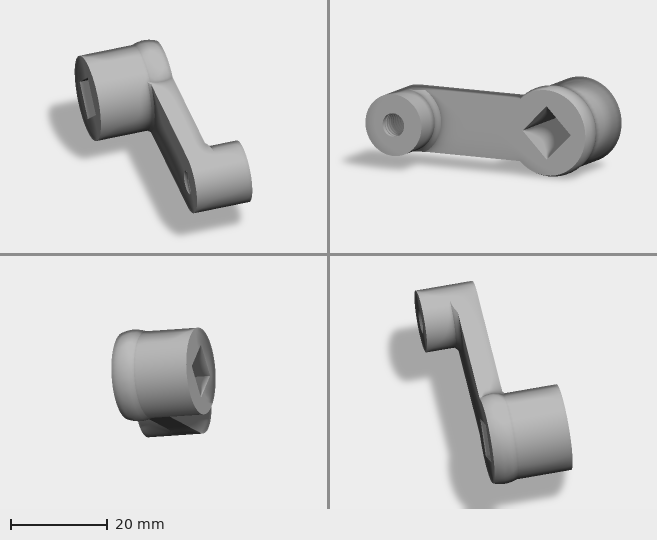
import cadquery as cq

total_length = 47.95

hub_diameter = 18.0
hub_length = 11.5
bead_diameter = 19.0
square_side = 7.9

arm_thickness = 4.95
boss_diameter = 13.0
boss_length = 12.0
hub_chamfer = 0.55
boss_chamfer = 1.0

thread_minor_diameter = 5.0
thread_major_diameter = 6.0
thread_pitch = 1.0
groove_mouth = 0.8
groove_root = 0.15
groove_overlap = 0.1
thread_end_gap = 0.58

hub_radius = hub_diameter / 2
bead_radius = bead_diameter / 2
boss_radius = boss_diameter / 2
boss_x = total_length - bead_radius - boss_radius
arm_width = boss_diameter


def y_cylinder(x, radius, y_start, y_end):
    """Cylinder parallel to Y, between two Y positions."""
    return cq.Workplane("XY").add(
        cq.Solid.makeCylinder(radius, y_end - y_start, cq.Vector(x, y_start, 0), cq.Vector(0, 1, 0))
    )


def flare(x, radius, size, y_face, direction):
    """45 degree collar on an arm face, tapering away from it and trimmed to the arm outline."""
    cone = cq.Workplane("XY").add(
        cq.Solid.makeCone(radius + size, radius, size, cq.Vector(x, y_face, 0), cq.Vector(0, direction, 0))
    )
    arm_zone = cq.Workplane("XY").box(boss_x, total_length, arm_width, centered=(False, True, True))
    return cone.intersect(arm_zone)


def make_bead():
    """Hub end with a barrel-shaped rim across the thickness of the arm."""
    return (
        cq.Workplane("XY")
        .lineTo(hub_radius, 0)
        .threePointArc((bead_radius, arm_thickness / 2), (hub_radius, arm_thickness))
        .lineTo(0, arm_thickness)
        .close()
        .revolve(360, (0, 0, 0), (0, 1, 0))
    )


def make_arm():
    return cq.Workplane("XY").box(boss_x, arm_thickness, arm_width, centered=(False, False, True))


def make_square_hole():
    """Through hole with its corners on the X and Z axes."""
    return (
        cq.Workplane("XY")
        .box(square_side, 3 * hub_length, square_side)
        .rotate((0, 0, 0), (0, 1, 0), 45)
    )


def make_thread_groove():
    """Helical groove kept inside both ends of the boss."""
    minor_radius = thread_minor_diameter / 2
    helix_height = boss_length - 2 * thread_end_gap
    path = cq.Wire.makeHelix(thread_pitch, helix_height, minor_radius)
    inner_x = minor_radius - groove_overlap
    profile = cq.Workplane("XZ").polyline([
        (inner_x, groove_mouth / 2),
        (thread_major_diameter / 2, groove_root / 2),
        (thread_major_diameter / 2, -groove_root / 2),
        (inner_x, -groove_mouth / 2),
    ]).close()
    groove = profile.sweep(cq.Workplane("XY").add(path), isFrenet=True)
    return groove.rotate((0, 0, 0), (1, 0, 0), -90).translate((boss_x, thread_end_gap, 0))


result = (
    make_bead()
    .union(make_arm())
    .union(y_cylinder(0, hub_radius, -hub_length, 0))
    .union(y_cylinder(boss_x, boss_radius, 0, boss_length))
    .union(flare(0, hub_radius, hub_chamfer, 0, -1))
    .union(flare(boss_x, boss_radius, boss_chamfer, arm_thickness, 1))
    .cut(make_square_hole())
    .cut(y_cylinder(boss_x, thread_minor_diameter / 2, 0, boss_length))
    .cut(make_thread_groove())
)